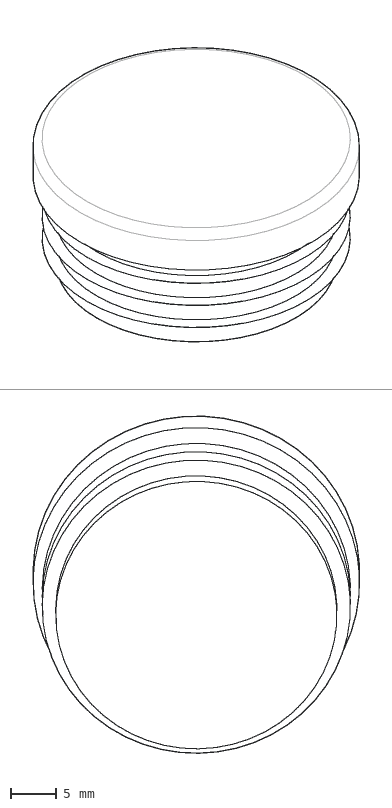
import cadquery as cq

cap_diameter = 36.0
total_height = 16.5
cap_height = 5.0
cap_edge_radius = 1.0

stem_diameter = 31.0
stem_height = total_height - cap_height

fin_diameter = 34.0
fin_height = 1.0
fin_count = 3
fin_pitch = 3.0
lowest_fin_top = 3.0


def make_cap():
    """Disc with a rounded top edge, sitting on the stem."""
    disc = cq.Workplane("XY").workplane(offset=stem_height).circle(cap_diameter / 2).extrude(cap_height)
    return disc.faces(">Z").edges().fillet(cap_edge_radius)


def make_fin(top):
    """Cone that widens from the stem surface up to a flat, sharp-edged top."""
    return (
        cq.Workplane("XZ")
        .moveTo(0, top - fin_height)
        .lineTo(stem_diameter / 2, top - fin_height)
        .lineTo(fin_diameter / 2, top)
        .lineTo(0, top)
        .close()
        .revolve(360, (0, 0, 0), (0, 1, 0))
    )


stem = cq.Workplane("XY").circle(stem_diameter / 2).extrude(stem_height)
result = stem.union(make_cap())
for index in range(fin_count):
    result = result.union(make_fin(lowest_fin_top + index * fin_pitch))